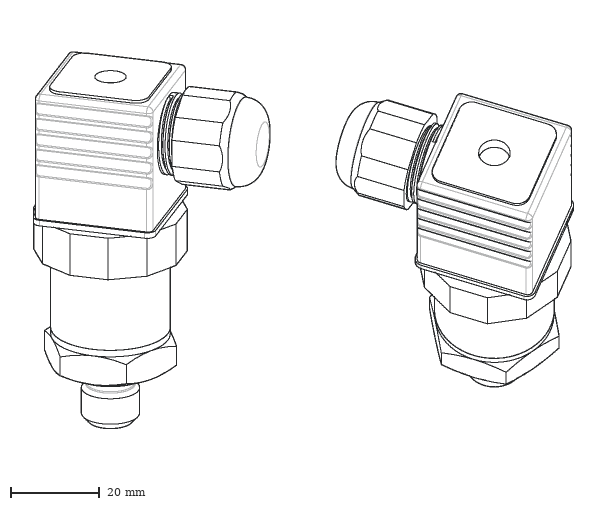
import cadquery as cq
import math


overall_length = 52.5

neck_bottom = 9.05
flange_bottom = 12.1
hex_bottom = 14.1
hex_top = 21.1
housing_bottom = 22.7
ring_bottom = 41.6
ring_top = 51.7
gasket_top = 53.05
hood_top = 83.1
plate_top = 83.8

thread_diameter = 13.15
thread_tip_diameter = 10.05
thread_tip_height = 1.8
neck_diameter = 11.0
neck_fillet = 0.4
flange_diameter = 19.0
flange_chamfer = 0.21
hex_flats = 26.9
hex_corners = hex_flats / math.cos(math.radians(30))
hex_bevel_angle = 30
collar_diameter = 26.9

housing_diameter = 27.0
ring_flats = 33.4
ring_sides = 12
gasket_width = 28.7
gasket_corner = 2.0

hood_width = 27.6
hood_fillet = 1.2
plate_width = 23.1
plate_corner = 3.0
screw_hole_diameter = 7.0
screw_hole_depth = 2.85

groove_count = 5
groove_pitch = 3.8
top_groove_z = 79.95
groove_radius = 1.5
groove_depth = 0.75
groove_edge_fillet = 0.3

gland_z = 71.65
gland_thread_diameter = 18.6
gland_root_diameter = 16.8
gland_pitch = 1.5
gland_turns = 3
groove_start_x = 14.25
groove_root_width = 0.3
groove_flank_angle = 20
groove_overshoot = 0.2

nut_start_x = 17.7
nut_bevel_x = 28.8
nut_dome_x = 30.6
nut_end_x = overall_length - ring_flats / 2
nut_flats = 21.5
nut_diameter = 22.5
nut_dome_diameter = 20.3
nut_dome_fillet = 5.0


def revolved(profile):
    """Solid turned about the Z axis from a closed (radius, z) outline."""
    return cq.Workplane("XZ").polyline(profile).close().revolve(360, (0, 0), (0, 1))


def beveled_hex():
    """Hexagon with both ends turned to a cone that touches the middle of each flat."""
    height = hex_top - hex_bottom
    hexagon = cq.Workplane("XY").workplane(offset=hex_bottom).polygon(6, hex_corners).extrude(height)
    flat_radius = hex_flats / 2
    corner_radius = hex_corners / 2
    drop = (corner_radius - flat_radius) * math.tan(math.radians(hex_bevel_angle))
    envelope = revolved([
        (0, hex_bottom),
        (flat_radius, hex_bottom),
        (corner_radius, hex_bottom + drop),
        (corner_radius, hex_top - drop),
        (flat_radius, hex_top),
        (0, hex_top),
    ])
    return hexagon.intersect(envelope)


def process_fitting():
    """Threaded stem, neck, sealing flange, wrench hexagon and collar."""
    thread_radius = thread_diameter / 2
    neck_radius = neck_diameter / 2
    flange_radius = flange_diameter / 2
    thread_top = neck_bottom - (thread_radius - neck_radius)
    stem = revolved([
        (0, 0),
        (thread_tip_diameter / 2, 0),
        (thread_radius, thread_tip_height),
        (thread_radius, thread_top),
        (neck_radius, neck_bottom),
        (neck_radius, flange_bottom),
        (flange_radius - flange_chamfer, flange_bottom),
        (flange_radius, flange_bottom + flange_chamfer),
        (flange_radius, hex_bottom),
        (0, hex_bottom),
    ])
    neck_edge = cq.selectors.BoxSelector(
        (-neck_radius, -neck_radius, neck_bottom - neck_fillet),
        (neck_radius, neck_radius, neck_bottom + neck_fillet),
    )
    stem = stem.edges(neck_edge).edges("%CIRCLE").fillet(neck_fillet)
    collar = (
        cq.Workplane("XY").workplane(offset=hex_top)
        .circle(collar_diameter / 2).extrude(housing_bottom - hex_top)
    )
    return stem.union(beveled_hex()).union(collar)


def housing_cylinder():
    return (
        cq.Workplane("XY").workplane(offset=housing_bottom)
        .circle(housing_diameter / 2).extrude(ring_bottom - housing_bottom)
    )


def union_ring():
    """Twelve-sided ring with flats square to X and Y."""
    return (
        cq.Workplane("XY").workplane(offset=ring_bottom)
        .polygon(ring_sides, ring_flats, circumscribed=True).extrude(ring_top - ring_bottom)
    )


def square_block(width, bottom, top, corner):
    """Square block centred on Z with rounded vertical corners."""
    block = cq.Workplane("XY").workplane(offset=bottom).rect(width, width).extrude(top - bottom)
    return block.edges("|Z").fillet(corner)


def grooved_hood_block():
    """Rounded hood block with grip grooves on its -Y and +Y sides."""
    block = square_block(hood_width, gasket_top, hood_top, hood_fillet)
    block = block.faces(">Z").edges().fillet(hood_fillet)
    groove_axis_y = hood_width / 2 - groove_depth + groove_radius
    for index in range(groove_count):
        groove_z = top_groove_z - index * groove_pitch
        cutters = (
            cq.Workplane("YZ")
            .pushPoints([(-groove_axis_y, groove_z), (groove_axis_y, groove_z)])
            .circle(groove_radius).extrude(hood_width, both=True)
        )
        block = block.cut(cutters)
    bottom_groove_z = top_groove_z - (groove_count - 1) * groove_pitch
    groove_zone = cq.selectors.BoxSelector(
        (-hood_width, -hood_width, bottom_groove_z - groove_radius),
        (hood_width, hood_width, top_groove_z + groove_radius),
    )
    groove_edges = groove_zone - cq.selectors.ParallelDirSelector(cq.Vector(0, 0, 1))
    return block.edges(groove_edges).fillet(groove_edge_fillet)


def gland_thread():
    """Threaded stub from inside the hood to the gland nut; its groove starts at the top."""
    stub_start_x = hood_width / 2 - hood_fillet
    stub = (
        cq.Workplane("XY").workplane(offset=stub_start_x - groove_start_x)
        .circle(gland_thread_diameter / 2).extrude(nut_start_x - stub_start_x)
    )
    root_radius = gland_root_diameter / 2
    outer_radius = gland_thread_diameter / 2 + groove_overshoot
    root_half = groove_root_width / 2
    outer_half = root_half + (outer_radius - root_radius) * math.tan(math.radians(groove_flank_angle))
    helix = cq.Wire.makeHelix(gland_pitch, gland_turns * gland_pitch, root_radius)
    cutter = (
        cq.Workplane("XZ")
        .polyline([
            (root_radius, -root_half),
            (outer_radius, -outer_half),
            (outer_radius, outer_half),
            (root_radius, root_half),
        ])
        .close().sweep(cq.Workplane(helix), isFrenet=True)
    )
    gland_frame = cq.Plane(origin=(groove_start_x, 0, gland_z), xDir=(0, 0, 1), normal=(1, 0, 0))
    return cq.Workplane(stub.cut(cutter).val().moved(cq.Location(gland_frame)))


def connector_hood():
    plate = square_block(plate_width, hood_top, plate_top, plate_corner)
    hood = grooved_hood_block().union(gland_thread()).union(plate)
    return hood.faces(">Z").workplane(origin=(0, 0, plate_top)).hole(screw_hole_diameter, screw_hole_depth)


def gland_nut():
    """Hexagon trimmed by a cylinder, with a beveled shoulder and a rounded dome."""
    length = nut_end_x - nut_start_x
    nut_radius = nut_diameter / 2
    dome_radius = nut_dome_diameter / 2
    envelope = (
        cq.Workplane("XY")
        .moveTo(nut_start_x, 0)
        .lineTo(nut_start_x, nut_radius)
        .lineTo(nut_bevel_x, nut_radius)
        .lineTo(nut_dome_x, dome_radius)
        .lineTo(nut_end_x - nut_dome_fillet, dome_radius)
        .radiusArc((nut_end_x, dome_radius - nut_dome_fillet), nut_dome_fillet)
        .lineTo(nut_end_x, 0)
        .close().revolve(360, (0, 0), (1, 0))
        .translate((0, 0, gland_z))
    )
    hexagon = (
        cq.Workplane("YZ", origin=(nut_start_x, 0, gland_z))
        .polygon(6, nut_flats, circumscribed=True).extrude(length)
    )
    return envelope.intersect(hexagon)


fitting = process_fitting()
housing = housing_cylinder()
ring = union_ring()
gasket = square_block(gasket_width, ring_top, gasket_top, gasket_corner)
hood = connector_hood()
nut = gland_nut()

bodies = [fitting, housing, ring, gasket, hood, nut]
result = cq.Compound.makeCompound([body.solids().val() for body in bodies])